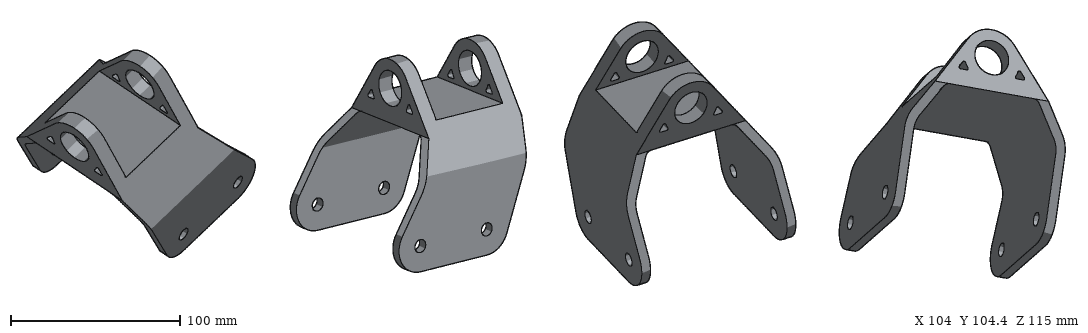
import cadquery as cq
import math

height = 115.0
width = 104.0
wall = 6.0
flank_lean = math.radians(34.6)
bend_radius = 20.0
roof_fillet = 5.0
underside_z = 75.3

crown_radius = 18.0
bore_diameter = 21.8
bore_z = height - crown_radius

bridge_depth = 70.0
lug_thickness = 10.0
bridge_top_z = 83.4

foot_radius = 16.1
pin_diameter = 8.0
front_pin_y = 38.3
pin_spacing = 50.0

window_base_z = 86.1
window_fillet = 1.0

back_pin_y = front_pin_y + pin_spacing
total_depth = back_pin_y + foot_radius
half_width = width / 2


def flank_x(z, inset=0):
    """Positive X of the flank at height z, moved inwards by inset."""
    rise = z - bore_z
    return (crown_radius - inset - rise * math.sin(flank_lean)) / math.cos(flank_lean)


def flank_z(x, inset=0):
    """Height at which the flank, moved inwards by inset, reaches positive X."""
    return bore_z + (crown_radius - inset - x * math.cos(flank_lean)) / math.sin(flank_lean)


def along_y(points):
    """Closed XZ polygon extruded over the full depth of the part."""
    return cq.Workplane("XZ").polyline(points).close().extrude(-total_depth)


def round_edges(body, x, z, radius):
    """Round the pair of lengthwise edges at (+x, z) and (-x, z)."""
    for side in (-1, 1):
        edge = cq.selectors.NearestToPointSelector((side * x, total_depth / 2, z))
        body = body.edges("|Y").edges(edge).fillet(radius)
    return body


def arch():
    """Outer arch with a rounded crown, hollowed to leave the two legs."""
    shoulder_z = flank_z(half_width)
    tangent_x = crown_radius * math.cos(flank_lean)
    tangent_z = bore_z + crown_radius * math.sin(flank_lean)
    outer = (
        cq.Workplane("XZ")
        .moveTo(-half_width, 0)
        .lineTo(-half_width, shoulder_z)
        .lineTo(-tangent_x, tangent_z)
        .threePointArc((0, height), (tangent_x, tangent_z))
        .lineTo(half_width, shoulder_z)
        .lineTo(half_width, 0)
        .close()
        .extrude(-total_depth)
    )
    outer = round_edges(outer, half_width, shoulder_z, bend_radius)

    inner_x = half_width - wall
    inner_shoulder_z = flank_z(inner_x, wall)
    roof_x = flank_x(underside_z, wall)
    hollow = along_y([
        (-inner_x, 0),
        (-inner_x, inner_shoulder_z),
        (-roof_x, underside_z),
        (roof_x, underside_z),
        (inner_x, inner_shoulder_z),
        (inner_x, 0),
    ])
    hollow = round_edges(hollow, inner_x, inner_shoulder_z, bend_radius - wall)
    hollow = round_edges(hollow, roof_x, underside_z, roof_fillet)
    return outer.cut(hollow)


def tangent_point(corner_y, pin_y, side):
    """Point where a line from the bridge corner touches a foot circle; side is 1 front, -1 back."""
    dy = corner_y - pin_y
    dz = underside_z - foot_radius
    spread = math.acos(foot_radius / math.hypot(dy, dz))
    angle = math.atan2(dz, dy) + side * spread
    return (pin_y + foot_radius * math.cos(angle), foot_radius + foot_radius * math.sin(angle))


def side_outline():
    """Side silhouette: upright bridge above legs that sweep back to rounded feet."""
    front_y, front_z = tangent_point(0, front_pin_y, 1)
    back_y, back_z = tangent_point(bridge_depth, back_pin_y, -1)
    diagonal = foot_radius * math.sqrt(0.5)
    return (
        cq.Workplane("YZ", origin=(-half_width, 0, 0))
        .moveTo(0, height)
        .lineTo(0, underside_z)
        .lineTo(front_y, front_z)
        .threePointArc((front_pin_y - diagonal, foot_radius - diagonal), (front_pin_y, 0))
        .lineTo(back_pin_y, 0)
        .threePointArc((back_pin_y + diagonal, foot_radius - diagonal), (back_y, back_z))
        .lineTo(bridge_depth, underside_z)
        .lineTo(bridge_depth, height)
        .close()
        .extrude(width)
    )


def lug_gap():
    """Space between the two lugs, above the bridge."""
    return cq.Workplane("XY").box(
        width, bridge_depth - 2 * lug_thickness, height - bridge_top_z, centered=(True, False, False)
    ).translate((0, lug_thickness, bridge_top_z))


def bore():
    return cq.Workplane("XZ").center(0, bore_z).circle(bore_diameter / 2).extrude(-total_depth)


def pin_holes():
    return (
        cq.Workplane("YZ", origin=(-half_width, 0, 0))
        .pushPoints([(front_pin_y, foot_radius), (back_pin_y, foot_radius)])
        .circle(pin_diameter / 2)
        .extrude(width)
    )


def lug_windows():
    """Rounded triangular windows, one wall inside the flanks and clear of a ring around the bore."""
    triangle = along_y([
        (-flank_x(window_base_z, wall), window_base_z),
        (0, window_base_z),
        (0, flank_z(0, wall)),
    ])
    ring = cq.Workplane("XZ").center(0, bore_z).circle(crown_radius).extrude(-total_depth)
    left = triangle.cut(ring).solids("<X").edges("|Y").fillet(window_fillet)
    return left.union(left.mirror("YZ"))


result = (
    arch()
    .intersect(side_outline())
    .cut(lug_gap())
    .cut(bore())
    .cut(pin_holes())
    .cut(lug_windows())
)